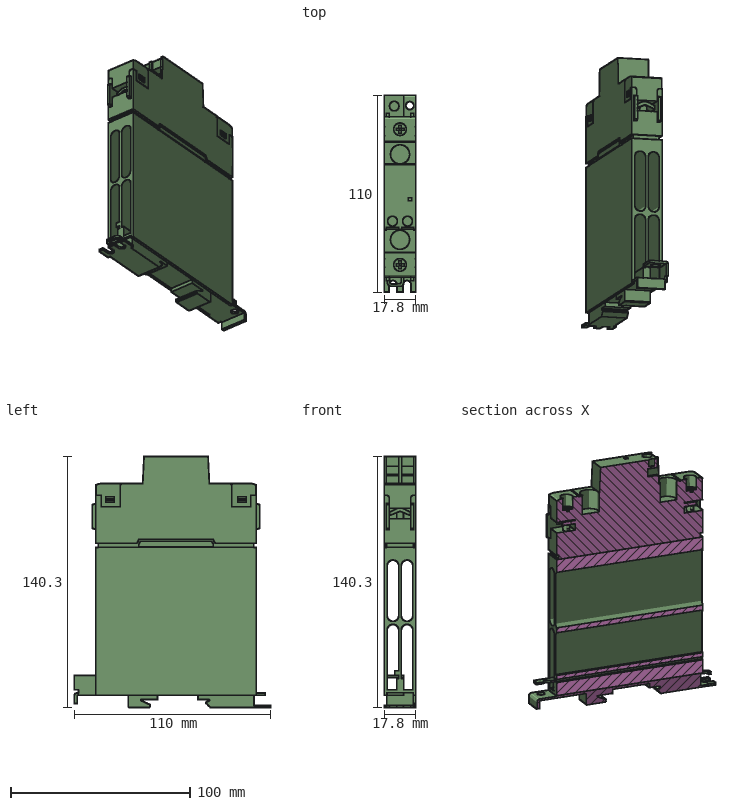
import cadquery as cq

WIDTH = 17.8
LENGTH = 89.8
HEIGHT = 140.3
HALF_WIDTH = WIDTH / 2
HALF_LENGTH = LENGTH / 2
OVERCUT = 1.4

SINK_BOTTOM = 6.9
SINK_TOP = 89.5
SINK_WALL = 1.8
SINK_RIB = 1.5
DUCT_FLOOR = 10.1
LOWER_DUCT_TOP = 46.5
UPPER_DUCT_BOTTOM = 48.3
UPPER_DUCT_TOP = 82.3
RIB_FOOT_LEFT = -2.0
RIB_FOOT_RIGHT = 2.1
RIB_FOOT_TOP = 16.4
RIB_NUB_LEFT = -3.0
RIB_NUB_BOTTOM = 18.0
RIB_NUB_TOP = 20.6

HEAD_BOTTOM = 91.7
SHOULDER_TOP = 125.3
SHOULDER_BEVEL = 3.0
SHOULDER_DROP = 1.0
SHOULDER_FACET = 1.3
SHOULDER_FACET_DROP = 0.4
NECK_INSET = 1.4
TOWER_BASE_HALF = 18.7
TOWER_TOP_HALF = 18.0
TAB_BOTTOM = 89.9
TAB_TOP = 92.9
TAB_BASE_HALF = 20.9
TAB_TOP_HALF = 19.9
TAB_STRAIGHT = 1.1
NOTCH_TOP = 94.1
NOTCH_BASE_HALF = 21.9
NOTCH_TOP_HALF = 20.6

PORT_HOLE_DIAMETER = 10.7
PORT_HOLE_Y = 23.8
PORT_HOLE_DEPTH = 11.2
SCREW_HOLE_DIAMETER = 7.0
SCREW_Y = 37.9
SCREW_HOLE_DEPTH = 7.0
SCREW_SLOT_WIDTH = 1.3
SCREW_SLOT_INNER = 0.5
SCREW_SLOT_OUTER = 2.2
SCREW_SLOT_DEPTH = 1.1
WINDOW_HALF_WIDTH = 6.0
WINDOW_BOTTOM = 105.4
WINDOW_TOP = 111.4
WINDOW_DEPTH = 11.2
CLAMP_SETBACK = 3.5
CLAMP_HALF_WIDTH = 5.6
CLAMP_FLAT_HALF = 1.7
CLAMP_TOP = 111.2
CLAMP_SIDE_TOP = 109.3
CLAMP_SIDE_BOTTOM = 107.3
CLAMP_UNDERSIDE_PEAK = 109.7
CLAMP_SCREW_DIAMETER = 3.9
GUIDE_WIDTH = 1.5
GUIDE_REACH = 2.0
GUIDE_BOTTOM = 99.5
GUIDE_TOP = 114.0
GUIDE_TAPER = 0.7

COVER_STEP = 0.1
COVER_INNER_Y = 31.1
COVER_BOTTOM = 112.2
COVER_EAR_BOTTOM = 118.5
COVER_EAR_INNER_Y = 41.8
COVER_EAR_FILLET = 1.4
COVER_GAP = 0.4
COVER_GAP_DEPTH = 0.5
LATCH_Y = 36.8
LATCH_LENGTH = 4.8
LATCH_BOTTOM = 114.7
LATCH_TOP = 117.7
LATCH_DEPTH = 0.7

CONTROL_X = 4.2
CONTROL_WIDTH = 6.7
CONTROL_RECESS = 1.0
CONTROL_PANEL_Y = -18.1
CONTROL_WINDOW_TOP = 134.7
CONTROL_WINDOW_BOTTOM = 130.3
CONTROL_SILL_BOTTOM = 129.5
CONTROL_WINDOW_DEPTH = 5.6
CONTROL_HOLE_DIAMETER = 5.5
CONTROL_HOLE_Y = -13.5
CONTROL_HOLE_DEPTH = 4.2
LAMP_SIZE = 1.8
LAMP_X = 5.6
LAMP_Y = -1.3
LAMP_DEPTH = 0.1

FOOT_HALF_WIDTH = 7.5
SHEET = 1.4
FOOT_FRONT = -43.6
FORK_FRONT = -53.0
FORK_THICKNESS = 1.3
FORK_SLOT_X = 3.9
FORK_SLOT_WIDTH = 4.3
FORK_SLOT_DEPTH = 6.3
LOOP_FRONT = -50.0
LOOP_LEFT = -7.0
LOOP_RIGHT = 2.1
LOOP_CORNER = 2.1
HOOK_LIP_BOTTOM = 4.5
HOOK_THROAT = 4.0
REAR_HOOK_BACK = 26.8
REAR_HOOK_LIP_END = 10.2
REAR_HOOK_THROAT_END = 19.6
REAR_HOOK_TIP = 14.5
REAR_HOOK_TIP_TOP = 1.7
REAR_HOOK_BEVEL = 0.5
FRONT_HOOK_LIP_END = -12.2
FRONT_HOOK_THROAT_END = -18.2
FRONT_HOOK_THROAT_BEVEL = 0.4
FRONT_HOOK_TIP = -16.7
FRONT_HOOK_TIP_TOP = 3.0
FRONT_HOOK_TIP_BOTTOM = 2.5
BRACKET_REAR = 57.0
BRACKET_TOP = 18.1
BRACKET_RIGHT = 2.1
BRACKET_BEND = 1.8
BRACKET_NOTCH_TOP = 10.0
BRACKET_NOTCH_DEPTH = 2.4
BRACKET_HOLE_DIAMETER = 5.3
BRACKET_HOLE_X = -3.2
BRACKET_HOLE_Y = 50.8
LUG_LEFT = -7.0
LUG_THICKNESS = 1.8
LUG_BOTTOM = 2.2
LUG_HOLE_DIAMETER = 4.3
LUG_HOLE_X = 5.5
LUG_HOLE_Y = 51.0

SHEET_TOP = SINK_BOTTOM + SHEET


def block(x_range, y_range, z_range):
    """Box between the given limits along each axis."""
    (x0, x1), (y0, y1), (z0, z1) = x_range, y_range, z_range
    return cq.Workplane("XY").box(x1 - x0, y1 - y0, z1 - z0, centered=False).translate((x0, y0, z0))


def side_profile(points, x_range):
    """Prism along X from an outline of (y, z) points."""
    x0, x1 = x_range
    return cq.Workplane("YZ").polyline(points).close().extrude(x1 - x0).translate((x0, 0, 0))


def front_profile(points, y_range):
    """Prism along Y from an outline of (x, z) points."""
    y0, y1 = y_range
    return cq.Workplane("XZ").polyline(points).close().extrude(y0 - y1).translate((0, y0, 0))


def upright_cylinder(diameter, x, y, z_range):
    """Cylinder along Z."""
    z0, z1 = z_range
    return cq.Workplane("XY", origin=(x, y, z0)).circle(diameter / 2).extrude(z1 - z0)


def level_cylinder(diameter, x, y_range, z):
    """Cylinder along Y."""
    y0, y1 = y_range
    return cq.Workplane("XZ", origin=(x, y0, z)).circle(diameter / 2).extrude(y0 - y1)


def both_sides(shape):
    """The shape with its mirror image across the middle of the width."""
    return shape.union(shape.mirror("YZ"))


def both_ends(shape):
    """The shape with its mirror image across the middle of the length."""
    return shape.union(shape.mirror("XZ"))


def make_heat_sink():
    full_y = (-HALF_LENGTH, HALF_LENGTH)
    through_y = (-HALF_LENGTH - OVERCUT, HALF_LENGTH + OVERCUT)
    sink = block((-HALF_WIDTH, HALF_WIDTH), full_y, (SINK_BOTTOM, SINK_TOP))

    duct_inner = SINK_RIB / 2
    duct_outer = HALF_WIDTH - SINK_WALL
    duct_x = (duct_inner, duct_outer)
    duct_middle = (duct_inner + duct_outer) / 2
    duct_radius = (duct_outer - duct_inner) / 2
    upper_arch_z = UPPER_DUCT_TOP - duct_radius
    lower_arch_z = LOWER_DUCT_TOP - duct_radius
    upper_sump_z = UPPER_DUCT_BOTTOM + duct_radius
    upper = block(duct_x, through_y, (upper_sump_z, upper_arch_z))
    upper = upper.union(level_cylinder(2 * duct_radius, duct_middle, through_y, upper_sump_z))
    upper = upper.union(level_cylinder(2 * duct_radius, duct_middle, through_y, upper_arch_z))
    lower = block(duct_x, through_y, (DUCT_FLOOR, lower_arch_z))
    lower = lower.union(level_cylinder(2 * duct_radius, duct_middle, through_y, lower_arch_z))
    sink = sink.cut(both_sides(upper)).cut(both_sides(lower))

    rib_foot = block((RIB_FOOT_LEFT, RIB_FOOT_RIGHT), full_y, (DUCT_FLOOR, RIB_FOOT_TOP))
    rib_nub = block((RIB_NUB_LEFT, 0), full_y, (RIB_NUB_BOTTOM, RIB_NUB_TOP))
    sink = sink.union(rib_foot).union(rib_nub)

    foot_channel = block(
        (-FOOT_HALF_WIDTH, FOOT_HALF_WIDTH), through_y, (SINK_BOTTOM - OVERCUT, SHEET_TOP)
    )
    return sink.cut(foot_channel)


def head_shell():
    """Stepped outline of the head on its narrower neck, with the side tabs in their notches."""
    half_outline = [
        (HALF_LENGTH, HEAD_BOTTOM),
        (HALF_LENGTH, SHOULDER_TOP - SHOULDER_DROP),
        (HALF_LENGTH - SHOULDER_FACET, SHOULDER_TOP - SHOULDER_FACET_DROP),
        (HALF_LENGTH - SHOULDER_BEVEL, SHOULDER_TOP),
        (TOWER_BASE_HALF, SHOULDER_TOP),
        (TOWER_TOP_HALF, HEIGHT),
    ]
    outline = half_outline + [(-y, z) for y, z in reversed(half_outline)]
    shell = side_profile(outline, (-HALF_WIDTH, HALF_WIDTH))

    neck_half_width = HALF_WIDTH - NECK_INSET
    neck_half_length = HALF_LENGTH - NECK_INSET
    neck = block(
        (-neck_half_width, neck_half_width), (-neck_half_length, neck_half_length), (SINK_TOP, HEAD_BOTTOM)
    )

    side_x = (neck_half_width, HALF_WIDTH)
    notch = side_profile(
        [
            (-NOTCH_BASE_HALF, HEAD_BOTTOM),
            (-NOTCH_TOP_HALF, NOTCH_TOP),
            (NOTCH_TOP_HALF, NOTCH_TOP),
            (NOTCH_BASE_HALF, HEAD_BOTTOM),
        ],
        side_x,
    )
    tab = side_profile(
        [
            (-TAB_BASE_HALF, TAB_BOTTOM),
            (-TAB_BASE_HALF, TAB_BOTTOM + TAB_STRAIGHT),
            (-TAB_TOP_HALF, TAB_TOP),
            (TAB_TOP_HALF, TAB_TOP),
            (TAB_BASE_HALF, TAB_BOTTOM + TAB_STRAIGHT),
            (TAB_BASE_HALF, TAB_BOTTOM),
        ],
        side_x,
    )
    return shell.cut(both_sides(notch)).union(neck).union(both_sides(tab))


def cover_relief():
    """Thin cuts that set the front terminal cover back from the side, end and top faces."""
    side = side_profile(
        [
            (-COVER_INNER_Y, SHOULDER_TOP + OVERCUT),
            (-COVER_INNER_Y, COVER_BOTTOM),
            (-COVER_EAR_INNER_Y, COVER_BOTTOM),
            (-COVER_EAR_INNER_Y, COVER_EAR_BOTTOM),
            (-HALF_LENGTH - OVERCUT, COVER_EAR_BOTTOM),
            (-HALF_LENGTH - OVERCUT, SHOULDER_TOP + OVERCUT),
        ],
        (HALF_WIDTH - COVER_STEP, HALF_WIDTH + OVERCUT),
    )
    end_y = (-HALF_LENGTH - OVERCUT, -HALF_LENGTH + COVER_STEP)
    ears = block((-HALF_WIDTH, HALF_WIDTH), end_y, (COVER_EAR_BOTTOM, SHOULDER_TOP))
    chin = block((-WINDOW_HALF_WIDTH, WINDOW_HALF_WIDTH), end_y, (WINDOW_TOP, SHOULDER_TOP))
    face = ears.union(chin)
    inside_corners = cq.selectors.BoxSelector(
        (-HALF_WIDTH + OVERCUT, -HALF_LENGTH - 2 * OVERCUT, COVER_EAR_BOTTOM - OVERCUT / 2),
        (HALF_WIDTH - OVERCUT, -HALF_LENGTH + OVERCUT, COVER_EAR_BOTTOM + OVERCUT / 2),
    )
    face = face.edges("|Y").edges(inside_corners).fillet(COVER_EAR_FILLET)
    gap = block(
        (-HALF_WIDTH, HALF_WIDTH),
        (-COVER_INNER_Y, -COVER_INNER_Y + COVER_GAP),
        (SHOULDER_TOP - COVER_GAP_DEPTH, SHOULDER_TOP),
    )
    return both_sides(side).union(face).union(gap)


def latch_recess():
    """Side pocket of a cover latch, with a triangular ridge left standing in it."""
    floor_x = HALF_WIDTH - LATCH_DEPTH
    third = (LATCH_TOP - LATCH_BOTTOM) / 3
    outline = [
        (HALF_WIDTH, LATCH_TOP),
        (floor_x, LATCH_TOP),
        (floor_x, LATCH_TOP - third),
        (HALF_WIDTH - COVER_STEP, LATCH_TOP - 2 * third),
        (floor_x, LATCH_BOTTOM),
        (HALF_WIDTH, LATCH_BOTTOM),
    ]
    front_y = -LATCH_Y - LATCH_LENGTH / 2
    return both_sides(front_profile(outline, (front_y, front_y + LATCH_LENGTH)))


def screw_well():
    """Screwdriver hole of the front terminal, with four slots in the screw head at its floor."""
    floor_z = SHOULDER_TOP - SCREW_HOLE_DEPTH
    well = upright_cylinder(SCREW_HOLE_DIAMETER, 0, -SCREW_Y, (floor_z, SHOULDER_TOP))
    arm = block(
        (SCREW_SLOT_INNER, SCREW_SLOT_OUTER),
        (-SCREW_SLOT_WIDTH / 2, SCREW_SLOT_WIDTH / 2),
        (floor_z - SCREW_SLOT_DEPTH, floor_z),
    )
    for quarter in range(4):
        turned = arm.rotate((0, 0, 0), (0, 0, 1), 90 * quarter)
        well = well.union(turned.translate((0, -SCREW_Y, 0)))
    return well


def wire_clamp():
    """Roof-shaped clamp and its screw inside the front wire window."""
    front_y = -HALF_LENGTH + CLAMP_SETBACK
    rear_y = -HALF_LENGTH + WINDOW_DEPTH
    outline = [
        (-CLAMP_HALF_WIDTH, CLAMP_SIDE_BOTTOM),
        (-CLAMP_HALF_WIDTH, CLAMP_SIDE_TOP),
        (-CLAMP_FLAT_HALF, CLAMP_TOP),
        (CLAMP_FLAT_HALF, CLAMP_TOP),
        (CLAMP_HALF_WIDTH, CLAMP_SIDE_TOP),
        (CLAMP_HALF_WIDTH, CLAMP_SIDE_BOTTOM),
        (0, CLAMP_UNDERSIDE_PEAK),
    ]
    clamp = front_profile(outline, (front_y, rear_y))
    screw = upright_cylinder(
        CLAMP_SCREW_DIAMETER, 0, -SCREW_Y, (WINDOW_BOTTOM, CLAMP_UNDERSIDE_PEAK)
    )
    return clamp.union(screw)


def cable_guides():
    """Pair of upright guides beside the front wire window."""
    guide_outer = WINDOW_HALF_WIDTH + GUIDE_WIDTH
    front_y = -HALF_LENGTH - GUIDE_REACH
    outline = [
        (-HALF_LENGTH, GUIDE_BOTTOM),
        (front_y, GUIDE_BOTTOM + GUIDE_TAPER),
        (front_y, GUIDE_TOP - GUIDE_TAPER),
        (-HALF_LENGTH, GUIDE_TOP),
    ]
    return both_sides(side_profile(outline, (WINDOW_HALF_WIDTH, guide_outer)))


def control_terminal(x):
    """Recess, wire window and screw hole of one control terminal in the tower."""
    x_range = (x - CONTROL_WIDTH / 2, x + CONTROL_WIDTH / 2)
    outside_y = -TOWER_BASE_HALF - OVERCUT
    recess_y = -TOWER_TOP_HALF + CONTROL_RECESS
    window_rear = recess_y + CONTROL_WINDOW_DEPTH
    recess_and_window = side_profile(
        [
            (outside_y, HEIGHT),
            (recess_y, HEIGHT),
            (recess_y, CONTROL_WINDOW_TOP),
            (window_rear, CONTROL_WINDOW_TOP),
            (window_rear, CONTROL_WINDOW_BOTTOM),
            (recess_y, CONTROL_WINDOW_BOTTOM),
            (CONTROL_PANEL_Y, CONTROL_SILL_BOTTOM),
            (CONTROL_PANEL_Y, SHOULDER_TOP),
            (outside_y, SHOULDER_TOP),
        ],
        x_range,
    )
    hole = upright_cylinder(
        CONTROL_HOLE_DIAMETER, x, CONTROL_HOLE_Y, (HEIGHT - CONTROL_HOLE_DEPTH, HEIGHT)
    )
    return recess_and_window.union(hole)


def make_head():
    window = block(
        (-WINDOW_HALF_WIDTH, WINDOW_HALF_WIDTH),
        (-HALF_LENGTH, -HALF_LENGTH + WINDOW_DEPTH),
        (WINDOW_BOTTOM, WINDOW_TOP),
    )
    port_hole = upright_cylinder(
        PORT_HOLE_DIAMETER, 0, -PORT_HOLE_Y, (SHOULDER_TOP - PORT_HOLE_DEPTH, SHOULDER_TOP)
    )
    head = head_shell()
    for cutter in (cover_relief(), latch_recess(), port_hole, screw_well(), window):
        head = head.cut(both_ends(cutter))
    for addition in (wire_clamp(), cable_guides()):
        head = head.union(both_ends(addition))

    for x in (-CONTROL_X, CONTROL_X):
        head = head.cut(control_terminal(x))
    lamp = (
        cq.Workplane("XY", origin=(LAMP_X, LAMP_Y, HEIGHT - LAMP_DEPTH))
        .rect(LAMP_SIZE, LAMP_SIZE)
        .extrude(LAMP_DEPTH)
    )
    return head.cut(lamp)


def rail_hooks():
    """Rear and front hooks that grip the mounting rail."""
    x_range = (-FOOT_HALF_WIDTH, FOOT_HALF_WIDTH)
    rear = side_profile(
        [
            (REAR_HOOK_BACK, SINK_BOTTOM),
            (REAR_HOOK_LIP_END, SINK_BOTTOM),
            (REAR_HOOK_LIP_END, HOOK_LIP_BOTTOM),
            (REAR_HOOK_THROAT_END, HOOK_LIP_BOTTOM),
            (REAR_HOOK_THROAT_END, HOOK_THROAT),
            (REAR_HOOK_TIP, REAR_HOOK_TIP_TOP),
            (REAR_HOOK_TIP, REAR_HOOK_BEVEL),
            (REAR_HOOK_TIP + REAR_HOOK_BEVEL, 0),
            (REAR_HOOK_BACK - REAR_HOOK_BEVEL, 0),
            (REAR_HOOK_BACK, REAR_HOOK_BEVEL),
        ],
        x_range,
    )
    front = side_profile(
        [
            (FRONT_HOOK_LIP_END, SINK_BOTTOM),
            (FRONT_HOOK_LIP_END, HOOK_LIP_BOTTOM),
            (FRONT_HOOK_THROAT_END, HOOK_LIP_BOTTOM),
            (FRONT_HOOK_THROAT_END - FRONT_HOOK_THROAT_BEVEL, HOOK_THROAT),
            (FRONT_HOOK_TIP, FRONT_HOOK_TIP_TOP),
            (FRONT_HOOK_TIP, FRONT_HOOK_TIP_BOTTOM),
            (FRONT_HOOK_TIP - FRONT_HOOK_TIP_BOTTOM, 0),
            (FOOT_FRONT, 0),
            (FOOT_FRONT, SINK_BOTTOM),
        ],
        x_range,
    )
    return rear.union(front)


def fork():
    """Slotted screw plate at the front, flush with the underside of the hooks."""
    neck = block(
        (-FOOT_HALF_WIDTH, FOOT_HALF_WIDTH), (-HALF_LENGTH, FOOT_FRONT), (0, FORK_THICKNESS)
    )
    plate = block((-HALF_WIDTH, HALF_WIDTH), (FORK_FRONT, -HALF_LENGTH), (0, FORK_THICKNESS))
    slot_radius = FORK_SLOT_WIDTH / 2
    round_y = FORK_FRONT + FORK_SLOT_DEPTH - slot_radius
    slot = block(
        (FORK_SLOT_X - slot_radius, FORK_SLOT_X + slot_radius),
        (FORK_FRONT - OVERCUT, round_y),
        (0, FORK_THICKNESS),
    )
    slot = slot.union(upright_cylinder(FORK_SLOT_WIDTH, FORK_SLOT_X, round_y, (0, FORK_THICKNESS)))
    return neck.union(plate.cut(both_sides(slot)))


def release_loop():
    """Flat rounded loop at the front of the base plate."""
    z_range = (SINK_BOTTOM, SHEET_TOP)
    outer = block((LOOP_LEFT, LOOP_RIGHT), (LOOP_FRONT, FOOT_FRONT), z_range)
    outer = outer.edges("|Z and <Y").fillet(LOOP_CORNER)
    inner = block(
        (LOOP_LEFT + SHEET, LOOP_RIGHT - SHEET), (LOOP_FRONT + SHEET, FOOT_FRONT), z_range
    )
    inner = inner.edges("|Z and <Y").fillet(LOOP_CORNER - SHEET / 2)
    return outer.cut(inner)


def rear_bracket():
    """Bent sheet behind the heat sink, open towards +X, with a hole in its top."""
    y_range = (HALF_LENGTH, BRACKET_REAR)
    notch_y = BRACKET_REAR - BRACKET_NOTCH_DEPTH
    bracket = block((-HALF_WIDTH, BRACKET_RIGHT), y_range, (SINK_BOTTOM, BRACKET_TOP))
    bracket = bracket.edges("|Y and <X and >Z").fillet(BRACKET_BEND)
    hollow = block(
        (-HALF_WIDTH + SHEET, BRACKET_RIGHT), y_range, (SHEET_TOP, BRACKET_TOP - SHEET)
    )
    notch = block(
        (-HALF_WIDTH, BRACKET_RIGHT), (notch_y, BRACKET_REAR), (SINK_BOTTOM, BRACKET_NOTCH_TOP)
    )
    hole = upright_cylinder(
        BRACKET_HOLE_DIAMETER, BRACKET_HOLE_X, BRACKET_HOLE_Y, (BRACKET_TOP - SHEET, BRACKET_TOP)
    )
    return bracket.cut(hollow).cut(notch).cut(hole)


def rear_lug():
    """Lug under and beside the bracket that bends down at its rear end."""
    x_range = (LUG_LEFT, HALF_WIDTH)
    lug = block(x_range, (HALF_LENGTH, BRACKET_REAR), (LUG_BOTTOM, SHEET_TOP))
    lug = lug.edges("|X and >Y and >Z").fillet(BRACKET_BEND)
    under = block(x_range, (HALF_LENGTH, BRACKET_REAR - LUG_THICKNESS), (LUG_BOTTOM, SINK_BOTTOM))
    hole = upright_cylinder(LUG_HOLE_DIAMETER, LUG_HOLE_X, LUG_HOLE_Y, (SINK_BOTTOM, SHEET_TOP))
    return lug.cut(under).cut(hole)


def make_foot():
    foot = block(
        (-FOOT_HALF_WIDTH, FOOT_HALF_WIDTH), (FOOT_FRONT, HALF_LENGTH), (SINK_BOTTOM, SHEET_TOP)
    )
    for feature in (rail_hooks(), fork(), release_loop(), rear_bracket(), rear_lug()):
        foot = foot.union(feature)
    return foot


heat_sink = make_heat_sink()
head = make_head()
foot = make_foot()
result = cq.Compound.makeCompound([heat_sink.val(), head.val(), foot.val()])